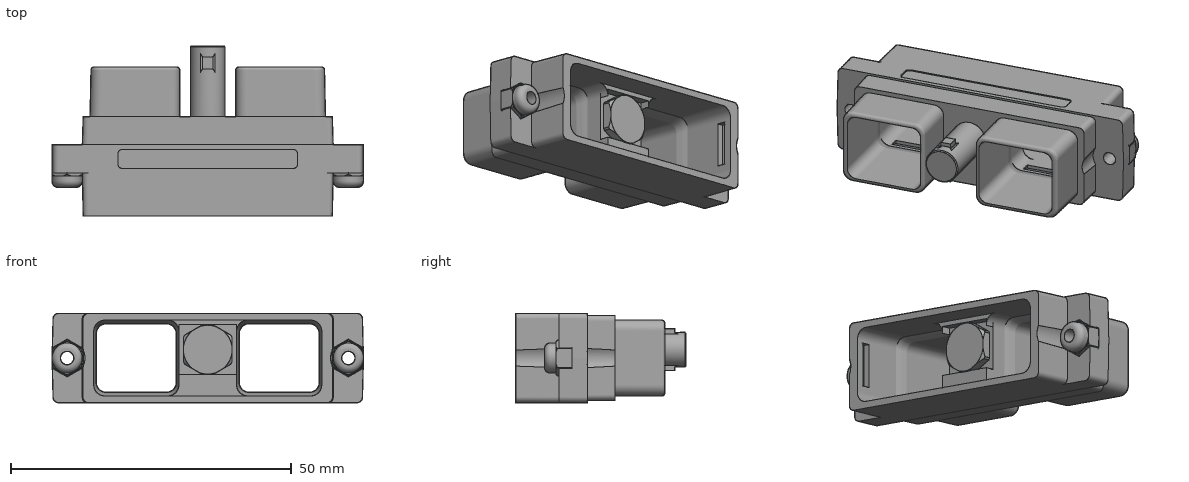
import cadquery as cq
import math


FLANGE_FRONT = 7.71
FLANGE_BACK = 12.78
REAR_BLOCK_BACK = 17.75
POD_BACK = 26.6
POST_BACK = 30.35

BODY_HEIGHT = 15.93
REAR_BLOCK_HEIGHT = 15.2
BODY_HALF_WIDTH = 22.36
BODY_END_DRAFT = 0.15
FLANGE_HALF_WIDTH = 27.75
FLANGE_END_DRAFT = 0.2
OUTER_CORNER = 1.0

POD_CENTER_X = 12.73
CAVITY_HALF_WIDTH = 20.32
CAVITY_HEIGHT = 13.5
CAVITY_CORNER = 2.0
CHAMBER_WIDTH = 2 * (CAVITY_HALF_WIDTH - POD_CENTER_X)
CHAMBER_BACK = 10.65
FUNNEL_BREAK = 11.65
WINDOW_START = 12.95
WINDOW_WIDTH = 14.2
WINDOW_HEIGHT = 12.15
WINDOW_CORNER = 1.7
POD_INNER_X = 4.95
POD_OUTER_X = 20.81
POD_OUTER_DRAFT = 0.18
POD_HEIGHT = 13.56
POD_CORNER = 1.9
POD_RIM = 0.6

CATCH_FRONT = 8.15
CATCH_BACK = 9.9
CATCH_DEPTH = 0.6

WALL_SLOT_FRONT = 1.5
WALL_SLOT_WIDTH = 1.7
WALL_SLOT_DEPTH = 1.2
WALL_SLOT_BOTTOM = -3.4
WALL_SLOT_TOP = 4.4

POST_Z = 1.5
POST_RADIUS = 3.1
POST_CHAMFER = 0.2
SADDLE_FRONT = 5.6
SADDLE_WALL = 7.5
SEAT_HALF_HEIGHT = 4.46
HEAD_FRONT = 5.7
HEAD_ACROSS_FLATS = 8.6
HEAD_FACE_RADIUS = 4.35
HEAD_BEVEL_LENGTH = 0.5

KEY_CENTER_Y = 27.3
KEY_HALF_WIDTH = 0.93
KEY_HALF_LENGTH = 1.08
KEY_TOP = 3.74
RELIEF_HALF_WIDTH = 1.42
RELIEF_HALF_LENGTH = 1.8
RELIEF_HEIGHT = 2.8

NUT_X = 25.05
NUT_CORNER_RADIUS = 3.22
NUT_CLEARANCE = 0.13
NUT_POCKET_BACK = 10.04
NUT_FRONT = 7.2
NUT_BEVEL = 0.3
COLLAR_FRONT = 5.12
COLLAR_RADIUS = FLANGE_HALF_WIDTH - NUT_X
COLLAR_FILLET = 1.1
SCREW_HOLE_RADIUS = 1.17
SCREW_GROOVE_RADIUS = 3.18

LABEL_LENGTH = 32.0
LABEL_WIDTH = 3.4
LABEL_CENTER_Y = 10.2
LABEL_DEPTH = 0.2
LABEL_CORNER = 0.8


def box(x_range, y_range, z_range):
    """Block spanning the given ranges."""
    size = [high - low for low, high in (x_range, y_range, z_range)]
    low_corner = (x_range[0], y_range[0], z_range[0])
    return cq.Workplane("XY").box(*size, centered=False).translate(low_corner)


def section(y, x=0, z=0):
    """XZ workplane at station y, extruding toward +Y."""
    return cq.Workplane(cq.Plane((x, y, z), xDir=(-1, 0, 0), normal=(0, 1, 0)))


def rod(radius, y_start, y_end, x=0, z=0):
    """Cylinder along Y."""
    return section(y_start, x, z).circle(radius).extrude(y_end - y_start)


def hex_bar(corner_radius, y_start, y_end, x=0, z=0):
    """Hexagonal bar along Y with corners pointing up and down."""
    angles = [math.radians(30 + 60 * i) for i in range(6)]
    corners = [(corner_radius * math.cos(a), corner_radius * math.sin(a)) for a in angles]
    return section(y_start, x, z).polyline(corners).close().extrude(y_end - y_start)


def rounded_bar(width, height, corner, y_start, y_end, x=0):
    """Rectangular bar along Y with rounded long edges."""
    bar = section(y_start, x).rect(width, height).extrude(y_end - y_start)
    return bar.edges("|Y").fillet(corner)


def upright_prism(outline, height):
    """XY outline extruded symmetrically about Z = 0."""
    return cq.Workplane("XY").polyline(outline).close().extrude(height / 2, both=True)


def drafted_block(y_wide, y_narrow, height):
    """Body section whose ends narrow away from the flange."""
    narrow = BODY_HALF_WIDTH - BODY_END_DRAFT
    outline = [
        (-BODY_HALF_WIDTH, y_wide),
        (BODY_HALF_WIDTH, y_wide),
        (narrow, y_narrow),
        (-narrow, y_narrow),
    ]
    block = upright_prism(outline, height)
    return block.faces("<X or >X").edges("not(|Z)").fillet(OUTER_CORNER)


def flange():
    """Mounting flange with ends drafted from the middle plane."""
    half_height = BODY_HEIGHT / 2
    narrow = FLANGE_HALF_WIDTH - FLANGE_END_DRAFT
    outline = [
        (-FLANGE_HALF_WIDTH, 0),
        (-narrow, half_height),
        (narrow, half_height),
        (FLANGE_HALF_WIDTH, 0),
        (narrow, -half_height),
        (-narrow, -half_height),
    ]
    plate = section(FLANGE_FRONT).polyline(outline).close().extrude(FLANGE_BACK - FLANGE_FRONT)
    return plate.edges("|Y").edges(">Z or <Z").fillet(OUTER_CORNER)


def pod(side):
    """Rear housing of one contact insert."""
    outline = [
        (side * POD_INNER_X, REAR_BLOCK_BACK),
        (side * (POD_OUTER_X + POD_OUTER_DRAFT), REAR_BLOCK_BACK),
        (side * POD_OUTER_X, POD_BACK),
        (side * POD_INNER_X, POD_BACK),
    ]
    shell = upright_prism(outline, POD_HEIGHT)
    long_edges = shell.faces("<X or >X").edges("not(|Z)")
    return long_edges.fillet(POD_CORNER).faces(">Y").edges().fillet(POD_RIM)


def housing():
    """Outer shape without the cavities."""
    body = drafted_block(FLANGE_FRONT, 0, BODY_HEIGHT)
    rear = drafted_block(FLANGE_BACK, REAR_BLOCK_BACK, REAR_BLOCK_HEIGHT)
    shape = body.union(rear)
    for side in (-1, 1):
        groove = rod(SCREW_GROOVE_RADIUS, 0, REAR_BLOCK_BACK, side * NUT_X)
        shape = shape.cut(groove)
    shape = shape.union(flange())
    for side in (-1, 1):
        shape = shape.union(pod(side))
    return shape


def taper(start, end, x):
    """Rounded tapered void between two (y, width, height, corner) sections."""
    profiles = []
    for y, width, height, corner in (start, end):
        profile = cq.Sketch().rect(width, height).vertices().fillet(corner)
        profiles.append(profile.moved(cq.Location(cq.Vector(0, 0, y - start[0]))))
    return section(start[0], x).placeSketch(*profiles).loft()


def insert_void(x):
    """Chamber that funnels in two stages down to the pod window."""
    chamber = rounded_bar(CHAMBER_WIDTH, CAVITY_HEIGHT, CAVITY_CORNER, 0, CHAMBER_BACK, x)
    mouth = (CHAMBER_BACK, CHAMBER_WIDTH, CAVITY_HEIGHT, CAVITY_CORNER)
    middle = (
        FUNNEL_BREAK,
        (CHAMBER_WIDTH + WINDOW_WIDTH) / 2,
        (CAVITY_HEIGHT + WINDOW_HEIGHT) / 2,
        (CAVITY_CORNER + WINDOW_CORNER) / 2,
    )
    throat = (WINDOW_START, WINDOW_WIDTH, WINDOW_HEIGHT, WINDOW_CORNER)
    window = rounded_bar(WINDOW_WIDTH, WINDOW_HEIGHT, WINDOW_CORNER, WINDOW_START, POD_BACK, x)
    return chamber.union(taper(mouth, middle, x)).union(taper(middle, throat, x)).union(window)


def latch_catch(x):
    """Wedge-shaped notch in a chamber floor, deepest at its front."""
    floor = -CAVITY_HEIGHT / 2
    length = CHAMBER_WIDTH - 2 * CAVITY_CORNER
    outline = [(CATCH_FRONT, floor), (CATCH_BACK, floor), (CATCH_FRONT, floor - CATCH_DEPTH)]
    wedge = cq.Workplane("YZ").polyline(outline).close().extrude(length / 2, both=True)
    return wedge.translate((x, 0, 0))


def wall_slot(side):
    """Upright pocket in an end wall of the front cavity."""
    inner = side * CAVITY_HALF_WIDTH
    x_range = sorted((inner - WALL_SLOT_DEPTH, inner + WALL_SLOT_DEPTH))
    y_range = (WALL_SLOT_FRONT, WALL_SLOT_FRONT + WALL_SLOT_WIDTH)
    return box(x_range, y_range, (WALL_SLOT_BOTTOM, WALL_SLOT_TOP))


def cavities():
    """Everything hollowed out behind the mating face."""
    void = rounded_bar(2 * CAVITY_HALF_WIDTH, CAVITY_HEIGHT, CAVITY_CORNER, 0, SADDLE_FRONT)
    for side in (-1, 1):
        x = side * POD_CENTER_X
        void = void.union(insert_void(x)).union(latch_catch(x)).union(wall_slot(side))
    return void


def head_seat():
    """Step in the saddle between the chambers, in front of the post head."""
    half_gap = POD_CENTER_X - CHAMBER_WIDTH / 2
    z_range = (POST_Z - SEAT_HALF_HEIGHT, POST_Z + SEAT_HALF_HEIGHT)
    return box((-half_gap, half_gap), (SADDLE_FRONT, SADDLE_WALL), z_range)


def post_head():
    """Hexagonal head with a bevelled round face, held in the seat."""
    corner_radius = HEAD_ACROSS_FLATS / math.sqrt(3)
    head = hex_bar(corner_radius, HEAD_FRONT, SADDLE_WALL, z=POST_Z)
    bevel_radius = HEAD_FACE_RADIUS + HEAD_BEVEL_LENGTH
    envelope = rod(bevel_radius, HEAD_FRONT, SADDLE_WALL, z=POST_Z)
    return head.intersect(envelope.faces("<Y").chamfer(HEAD_BEVEL_LENGTH))


def post():
    """Rear post with a key and its relief on the top and the bottom."""
    shaft = rod(POST_RADIUS, SADDLE_WALL, POST_BACK, z=POST_Z)
    shaft = shaft.faces(">Y").chamfer(POST_CHAMFER)
    for side in (-1, 1):
        for direction in (-1, 1):
            relief_outline = [
                (side * KEY_HALF_WIDTH, KEY_CENTER_Y - KEY_HALF_LENGTH),
                (side * RELIEF_HALF_WIDTH, KEY_CENTER_Y - RELIEF_HALF_LENGTH),
                (side * RELIEF_HALF_WIDTH, KEY_CENTER_Y + RELIEF_HALF_LENGTH),
                (side * KEY_HALF_WIDTH, KEY_CENTER_Y + KEY_HALF_LENGTH),
            ]
            relief = (
                cq.Workplane("XY", origin=(0, 0, POST_Z + direction * RELIEF_HEIGHT))
                .polyline(relief_outline).close()
                .extrude(direction * (POST_RADIUS - RELIEF_HEIGHT))
            )
            shaft = shaft.cut(relief)
    key = box(
        (-KEY_HALF_WIDTH, KEY_HALF_WIDTH),
        (KEY_CENTER_Y - KEY_HALF_LENGTH, KEY_CENTER_Y + KEY_HALF_LENGTH),
        (POST_Z - KEY_TOP, POST_Z + KEY_TOP),
    )
    return shaft.union(key)


def nut_pocket(side):
    """Hexagonal pocket, open through the front and end of the flange."""
    radius = NUT_CORNER_RADIUS + NUT_CLEARANCE
    return hex_bar(radius, FLANGE_FRONT, NUT_POCKET_BACK, side * NUT_X)


def captive_nut(side):
    """Hexagonal nut trimmed flush with the flange end, with a rounded collar."""
    x = side * NUT_X
    nut = hex_bar(NUT_CORNER_RADIUS, NUT_FRONT, NUT_POCKET_BACK, x)
    crown = rod(NUT_CORNER_RADIUS, NUT_FRONT, NUT_POCKET_BACK, x)
    trim = box(
        (-FLANGE_HALF_WIDTH, FLANGE_HALF_WIDTH),
        (0, FLANGE_BACK),
        (-BODY_HEIGHT / 2, BODY_HEIGHT / 2),
    )
    nut = nut.intersect(crown.faces("<Y").chamfer(NUT_BEVEL)).intersect(trim)
    collar = rod(COLLAR_RADIUS, COLLAR_FRONT, NUT_POCKET_BACK, x)
    return nut.union(collar.faces("<Y").edges().fillet(COLLAR_FILLET))


def label_panel():
    """Shallow recess on the top of the flange."""
    return (
        cq.Workplane("XY", origin=(0, LABEL_CENTER_Y, BODY_HEIGHT / 2 - LABEL_DEPTH))
        .rect(LABEL_LENGTH, LABEL_WIDTH)
        .extrude(LABEL_DEPTH)
        .edges("|Z")
        .fillet(LABEL_CORNER)
    )


result = housing().cut(cavities()).cut(head_seat()).cut(label_panel())
result = result.union(post()).union(post_head())
for end in (-1, 1):
    result = result.cut(nut_pocket(end)).union(captive_nut(end))
    result = result.cut(rod(SCREW_HOLE_RADIUS, 0, FLANGE_BACK, end * NUT_X))